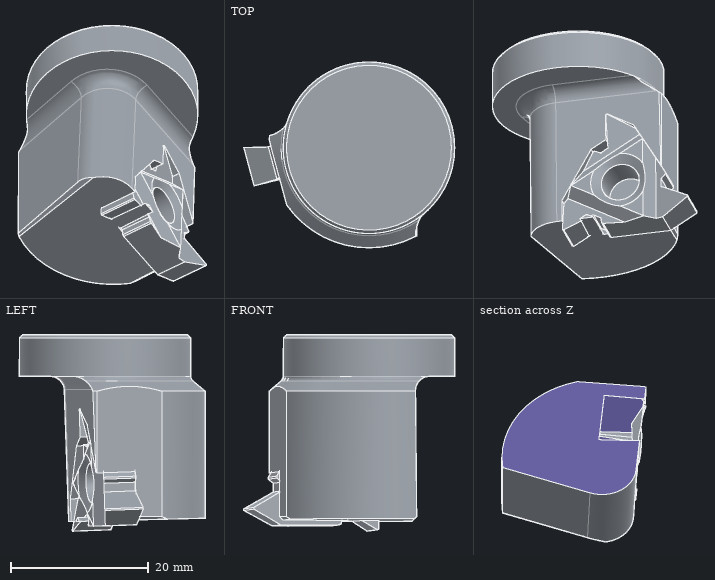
import cadquery as cq
import math


flange_radius = 12.5
flange_height = 6.1
flange_chamfer = 0.5
neck_fillet = 0.85
cone_angle = 50.0
body_radius = 14.59
body_length = 27.12
end_face_tilt = 1.4

flat_distance = 13.75
flute_face_offset = 5.0
side_wall_x = 6.92
flute_corner_radius = 5.0
flute_root_radius = 2.0
end_chamfer = 0.6

insert_turn = 15.0
insert_tilt = 2.0
insert_across = -7.37
insert_z = -21.48
seat_offset = -0.9

insert_thickness = 5.8
insert_hole_diameter = 5.7
countersink_width = 1.4
countersink_depth = 0.8
edge_distance = 6.27
long_edge_angle = 30.0
tooth_count = 3
tooth_tip_x = 10.24
tooth_axis_y = -3.85
tooth_root_x = 6.06
tooth_half_angle = 30.0
tooth_crest = 0.24
ridge_x = 6.76
neck_top_y = -0.05
ridge_low_y = 0.55
rake_angle = 15.0
rake_end_x = 5.2
rake_wall_top_x = 3.6

far = 60.0

turn = math.radians(insert_turn)
tilt = math.radians(insert_tilt)
half_slope = math.tan(math.radians(tooth_half_angle))

across = cq.Vector(math.cos(turn), math.sin(turn), 0)
level_normal = cq.Vector(-math.sin(turn), math.cos(turn), 0)
normal = level_normal * math.cos(tilt) + cq.Vector(0, 0, -math.sin(tilt))

seat_centre = across * insert_across + normal * seat_offset + cq.Vector(0, 0, insert_z)
seat_plane = cq.Plane(origin=seat_centre, xDir=across * -1, normal=normal)


def rotated(point, turn_index):
    """Point moved on to the next tooth position, clockwise in the local frame."""
    angle = -2 * math.pi / tooth_count * turn_index
    x, y = point
    return (
        x * math.cos(angle) - y * math.sin(angle),
        x * math.sin(angle) + y * math.cos(angle),
    )


def flank_y(x, side):
    """Height of a tooth flank at x; side is +1 for the upper flank, -1 for the lower."""
    reach = tooth_tip_x - x
    return tooth_axis_y + side * (tooth_crest / 2 + reach * half_slope)


def three_fold_prism(corner, height):
    """Prism on the seat floor whose outline repeats one corner for each tooth."""
    points = [rotated(p, i) for i in range(tooth_count) for p in corner]
    return cq.Workplane(seat_plane).polyline(points).close().extrude(height)


edge_angle = math.radians(long_edge_angle)
ridge_high_y = (edge_distance - ridge_x * math.cos(edge_angle)) / math.sin(edge_angle)
lower_root_x = tooth_tip_x - (edge_distance + tooth_axis_y - tooth_crest / 2) / half_slope

tooth_points = [
    (tooth_tip_x, flank_y(tooth_tip_x, 1)),
    (tooth_tip_x, flank_y(tooth_tip_x, -1)),
    (lower_root_x, -edge_distance),
]
insert_corner = [
    (ridge_x, ridge_high_y),
    (ridge_x, ridge_low_y),
    (tooth_root_x, neck_top_y),
    (tooth_root_x, flank_y(tooth_root_x, 1)),
] + tooth_points
seat_corner = [(ridge_x, ridge_high_y), (ridge_x, flank_y(ridge_x, 1))] + tooth_points


def make_insert():
    """Three-tooth insert with a countersunk screw hole and a ground rake on each tooth."""
    body = three_fold_prism(insert_corner, insert_thickness)
    hole_radius = insert_hole_diameter / 2
    body = body.cut(cq.Workplane(seat_plane).circle(hole_radius).extrude(insert_thickness))
    countersink = (
        cq.Workplane(seat_plane)
        .workplane(offset=insert_thickness - countersink_depth)
        .circle(hole_radius)
        .workplane(offset=countersink_depth)
        .circle(hole_radius + countersink_width)
        .loft()
    )
    body = body.cut(countersink)
    for i in range(tooth_count):
        body = body.cut(rake_cutter(i))
    return body


def rake_cutter(turn_index):
    """Ground rake that sinks inward from the tooth tip and ends in a chip-breaker wall."""
    foot_depth = (tooth_tip_x - rake_end_x) * math.tan(math.radians(rake_angle))
    section = [
        (tooth_tip_x, insert_thickness),
        (rake_end_x, insert_thickness - foot_depth),
        (rake_wall_top_x, insert_thickness),
    ]
    spun = seat_plane.rotated((0, 0, -360.0 / tooth_count * turn_index))
    side = cq.Plane(origin=spun.origin, xDir=spun.xDir, normal=spun.yDir * -1)
    return cq.Workplane(side).polyline(section).close().extrude(far / 2, both=True)


def turned_blank():
    """Flange, neck and shoulder cone turned about the axis, with an overlong body."""
    cone = math.radians(cone_angle)
    neck_end_radius = flange_radius + neck_fillet * (1 - math.cos(cone))
    neck_end_z = -flange_height - neck_fillet * math.sin(cone)
    cone_end_z = neck_end_z - (body_radius - neck_end_radius) / math.tan(cone)
    return (
        cq.Workplane("XZ")
        .moveTo(0, 0)
        .lineTo(flange_radius - flange_chamfer, 0)
        .lineTo(flange_radius, -flange_chamfer)
        .lineTo(flange_radius, -flange_height)
        .tangentArcPoint((neck_end_radius, neck_end_z), relative=False)
        .lineTo(body_radius, cone_end_z)
        .lineTo(body_radius, -far)
        .lineTo(0, -far)
        .close()
        .revolve(360, (0, 0, 0), (0, 1, 0))
    )


def flute_cutter():
    """Space beside the standing column, rounded where it runs out under the flange."""
    upright = across.cross(normal)
    frame = cq.Plane(origin=(0, 0, insert_z), xDir=across, normal=upright)

    def side_wall_point(v):
        return ((side_wall_x + v * math.sin(turn)) / math.cos(turn), v)

    column = (
        cq.Workplane(frame)
        .moveTo(-far, flute_face_offset)
        .lineTo(*side_wall_point(flute_face_offset))
        .lineTo(*side_wall_point(-far))
        .lineTo(-far, -far)
        .close()
        .extrude(far, both=True)
    )
    corner = frame.toWorldCoords(side_wall_point(flute_face_offset))
    column = column.edges(cq.selectors.NearestToPointSelector(corner.toTuple())).fillet(
        flute_corner_radius
    )
    space = cq.Workplane("XY", origin=(0, 0, -flange_height)).rect(far, far).extrude(-far)
    space = space.cut(column)
    root_edge = cq.selectors.NearestToPointSelector((side_wall_x, 0, -flange_height))
    return space.edges(root_edge).fillet(flute_root_radius)


def outside_of(origin, direction):
    """Large block filling the half space beyond a plane."""
    return cq.Workplane(cq.Plane(origin=origin, normal=direction)).rect(4 * far, 4 * far).extrude(far)


def make_head():
    """Flanged head with a flat, a flute, a sloped end and the insert seat."""
    head = turned_blank().cut(flute_cutter())

    head = head.cut(outside_of(across * -flat_distance, across * -1))
    end_tilt = math.radians(end_face_tilt)
    end_direction = cq.Vector(0, -math.sin(end_tilt), -math.cos(end_tilt))
    head = head.cut(outside_of(cq.Vector(0, 0, -body_length), end_direction))

    down = cq.Vector(0, 0, -1)
    for outward, distance in ((across * -1, flat_distance), (cq.Vector(1, 0, 0), side_wall_x)):
        bevel_start = outward * (distance - end_chamfer) + down * body_length
        head = head.cut(outside_of(bevel_start, outward + down))

    return head.cut(three_fold_prism(seat_corner, far))


head = make_head()
insert = make_insert()
result = cq.Compound.makeCompound([head.val(), insert.val()])